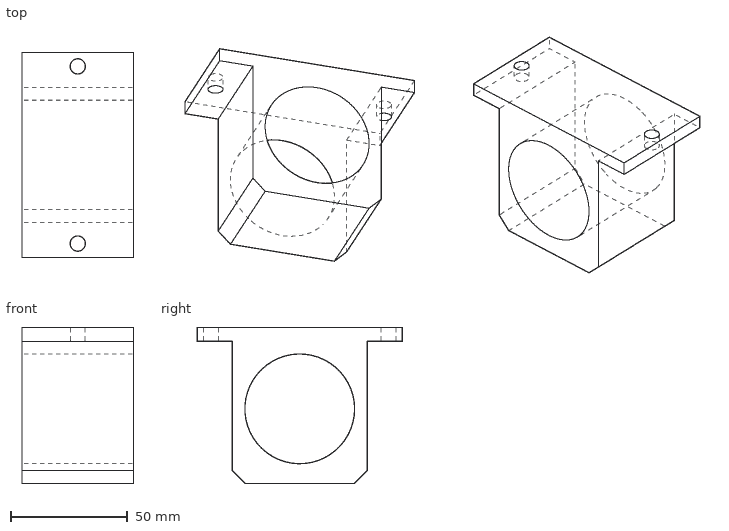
import cadquery as cq

length_x = 48.0
flange_width = 88.0
flange_thickness = 6.0
screw_diameter = 6.4
screw_spacing = 76.0

total_height = 67.0
body_width = 58.0
body_height = total_height - flange_thickness
corner_chamfer = 5.5

bore_diameter = 47.0
bore_height = 32.0


def make_body():
    """Block standing on Z = 0 with its two lower long edges chamfered."""
    block = cq.Workplane("XY").box(length_x, body_width, body_height, centered=(True, True, False))
    return block.faces("<Z").edges("|X").chamfer(corner_chamfer)


def make_flange():
    """Plate on top of the body, with a screw hole in each overhang."""
    half_spacing = screw_spacing / 2
    return (
        cq.Workplane("XY")
        .workplane(offset=body_height)
        .rect(length_x, flange_width)
        .extrude(flange_thickness)
        .faces(">Z")
        .workplane()
        .pushPoints([(0, -half_spacing), (0, half_spacing)])
        .hole(screw_diameter)
    )


def make_bore():
    """Cylinder that passes through the whole body along X."""
    return (
        cq.Workplane("YZ")
        .workplane(offset=-length_x / 2)
        .center(0, bore_height)
        .circle(bore_diameter / 2)
        .extrude(length_x)
    )


result = make_body().union(make_flange()).cut(make_bore())